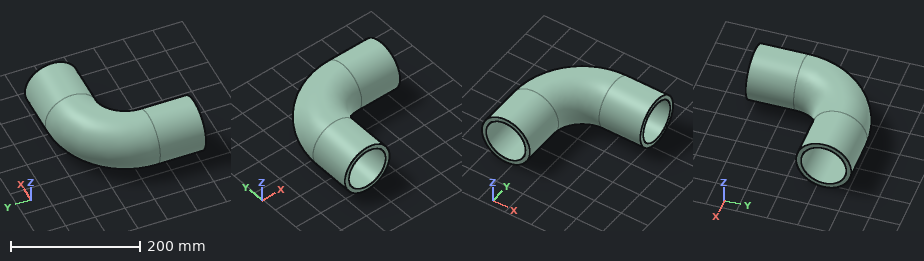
import cadquery as cq
import math

overall_length = 213.0
outer_diameter = 90.0
bore_diameter = 73.7

bend_radius = outer_diameter
leg_length = overall_length - bend_radius - outer_diameter / 2

leg_end = bend_radius + leg_length
bend_middle = bend_radius * (1 - math.sqrt(0.5))


def elbow_solid(diameter):
    """Solid round bar following the elbow centreline."""
    centreline = (
        cq.Workplane("XY")
        .moveTo(0, -leg_end)
        .lineTo(0, -bend_radius)
        .threePointArc((bend_middle, -bend_middle), (bend_radius, 0))
        .lineTo(leg_end, 0)
    )
    return (
        cq.Workplane("XZ", origin=(0, -leg_end, 0))
        .circle(diameter / 2)
        .sweep(centreline)
    )


result = elbow_solid(outer_diameter).cut(elbow_solid(bore_diameter))